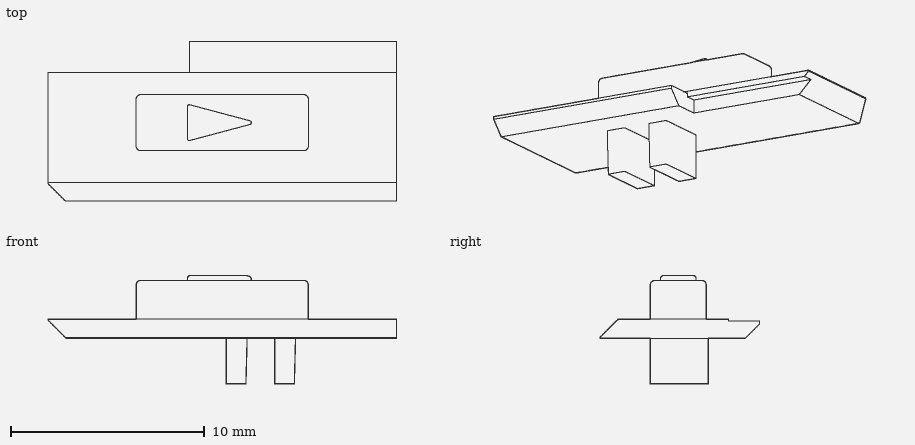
import cadquery as cq
import math

plate_length = 18.0
plate_width = 6.65
plate_thickness = 1.0
plate_lip = 0.05
plate_bevel = plate_thickness - plate_lip

step_depth = 0.65
step_height = 0.7

overall_width = 8.25
tab_left = 7.3
tab_thickness = 0.9
tab_lip = 0.15
tab_bevel = tab_thickness - tab_lip

button_left = 4.55
button_front = 2.6
button_length = 8.9
button_width = 2.9
button_height = 2.0
button_fillet = 0.25

arrow_left = 7.2
arrow_tip = 10.5
arrow_half_width = 0.925
arrow_height = 0.25
arrow_corner_radius = 0.1
arrow_fillet = 0.15

first_leg_left = 9.2
leg_pitch = 2.5
leg_count = 2
leg_width = 1.09
leg_depth = 3.0
leg_length = 2.35
leg_draft_angle = 1.5
leg_fillet = 0.1


def make_plate():
    """Plate with a front bevel facing up, a left bevel facing down and a step under the rear edge."""
    side_profile = [
        (0, 0),
        (plate_width - step_depth, 0),
        (plate_width - step_depth, step_height),
        (plate_width, step_height),
        (plate_width, plate_thickness),
        (plate_bevel, plate_thickness),
        (0, plate_lip),
    ]
    plate = cq.Workplane("YZ").polyline(side_profile).close().extrude(plate_length)
    left_wedge = (
        cq.Workplane("XZ")
        .polyline([(0, 0), (plate_bevel, 0), (0, plate_bevel)])
        .close()
        .extrude(-plate_width)
    )
    return plate.cut(left_wedge)


def make_tab():
    """Tab that fills the step and runs out behind the plate, bevelled underneath."""
    root = plate_width - step_depth
    profile = [
        (root, 0),
        (overall_width - tab_bevel, 0),
        (overall_width, tab_bevel),
        (overall_width, tab_thickness),
        (root, tab_thickness),
    ]
    return (
        cq.Workplane("YZ", origin=(tab_left, 0, 0))
        .polyline(profile)
        .close()
        .extrude(plate_length - tab_left)
    )


def make_button():
    """Rectangular button with rounded upright and top edges."""
    return (
        cq.Workplane("XY", origin=(button_left, button_front, plate_thickness))
        .box(button_length, button_width, button_height, centered=False)
        .edges("|Z or >Z")
        .fillet(button_fillet)
    )


def make_arrow():
    """Triangle with small corner radii and a larger rounding along its top edge."""
    core_left = arrow_left + arrow_corner_radius
    core_tip = arrow_tip - arrow_corner_radius
    core_half_width = arrow_half_width - arrow_corner_radius
    middle = button_front + button_width / 2
    return (
        cq.Workplane("XY", origin=(0, middle, plate_thickness + button_height))
        .polyline([(core_left, -core_half_width), (core_tip, 0), (core_left, core_half_width)])
        .close()
        .offset2D(arrow_corner_radius)
        .extrude(arrow_height)
        .faces(">Z")
        .edges()
        .fillet(arrow_fillet)
    )


def make_leg(left):
    """Leg with a drafted right face and rounded rear edges."""
    draft = leg_length * math.tan(math.radians(leg_draft_angle))
    profile = [
        (left, 0),
        (left + leg_width, 0),
        (left + leg_width - draft, -leg_length),
        (left, -leg_length),
    ]
    return (
        cq.Workplane("XZ", origin=(0, button_front, 0))
        .polyline(profile)
        .close()
        .extrude(-leg_depth)
        .faces(">Y")
        .edges("not #Z")
        .fillet(leg_fillet)
    )


result = make_plate().union(make_tab()).union(make_button()).union(make_arrow())
for leg_index in range(leg_count):
    result = result.union(make_leg(first_leg_left + leg_index * leg_pitch))